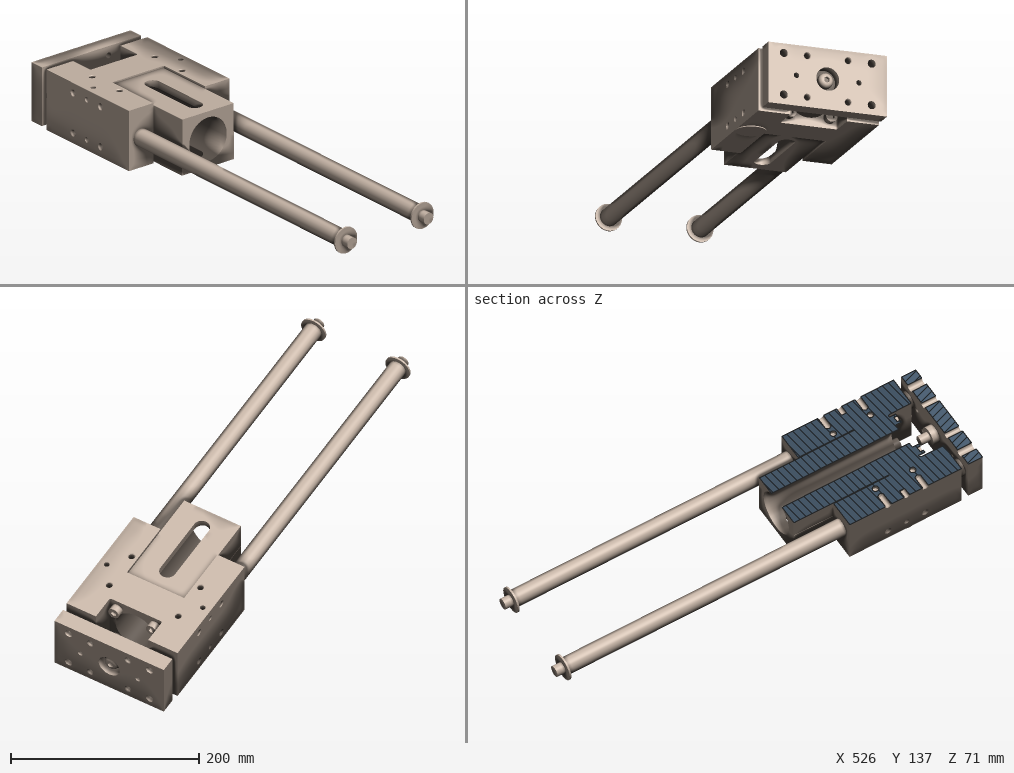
import cadquery as cq
import math


plate_thickness = 18
plate_width = 135
plate_height = 68
plate_bore_diameter = 26
plate_bore_depth = 12
plate_corner_hole_diameter = 9
plate_corner_hole_spacing = 100
plate_dowel_diameter = 6
plate_dowel_spacing = 71

screw_head_diameter = 17
screw_head_height = 8
screw_head_edge = 5
screw_socket_across_flats = 6
screw_base_height = 2
screw_socket_depth = 4
collar_diameter = 21
collar_length = 8
stem_diameter = 11
stem_length = 11.5

overall_length = 526
rod_diameter = 20
rod_spacing = 104
washer_diameter = 30
washer_thickness = 2
end_screw_diameter = 13
end_screw_length = 10
rod_points = [(-rod_spacing / 2, 0), (rod_spacing / 2, 0)]
rod_end_x = overall_length - end_screw_length - washer_thickness

housing_start_x = 27
housing_length = 140
housing_width = 137
housing_height = 70
notch_depth = 29.5
notch_width = 64.5
notch_corner_radius = 2
bore_diameter = 51
notch_floor_x = housing_start_x + notch_depth

mount_center_x = 95.3
mount_pitch = 46.5
thread_diameter = 6.65
thread_mouth_diameter = 8.2
thread_depth = 16
drill_tip_angle = 118
dowel_diameter = 6
dowel_depth = 10
top_thread_spacing = 85
top_dowel_spacing = 118.5

pad_diameter = 33
pad_height = 1
pad_center_x = 92

cap_screw_diameter = 13
cap_screw_height = 8
cap_socket_across_flats = 6
cap_socket_depth = 4

block_start_x = 97
block_end_x = 216
block_width = 70.5
block_upper_width = 69.8
block_height = 65
slot_length = 89
slot_width = 18
slot_center_x = 157.7


def box(x_start, x_end, width, height):
    """Box along X, centred on Y = 0 and Z = 0."""
    length = x_end - x_start
    return cq.Workplane("XY").box(length, width, height).translate((x_start + length / 2, 0, 0))


def rods_along_x(points, x_start, x_end, diameter):
    """Round bars parallel to X at the given (y, z) points."""
    plane = cq.Workplane("YZ", origin=(x_start, 0, 0))
    return plane.pushPoints(points).circle(diameter / 2).extrude(x_end - x_start)


def hex_socket(points, x_start, depth, across_flats):
    """Hexagonal recess tools that open toward -X, with two corners above and below each centre."""
    across_corners = across_flats / math.cos(math.pi / 6)
    socket = cq.Workplane("YZ").polygon(6, across_corners).extrude(depth).rotate((0, 0, 0), (1, 0, 0), 90)
    sockets = cq.Workplane("YZ")
    for y, z in points:
        sockets = sockets.add(socket.translate((x_start, y, z)))
    return sockets.combine()


def grid(first_spacing, second_spacing):
    """Four points of a centred rectangle."""
    return [(a * first_spacing / 2, b * second_spacing / 2) for a in (-1, 1) for b in (-1, 1)]


def drill_tool(diameter, depth):
    """Plain flat-bottomed hole that goes down from Z = 0."""
    return cq.Workplane("XY").circle(diameter / 2).extrude(-depth)


def thread_tool(depth):
    """Threaded hole with a countersunk mouth and a conical bottom, going down from Z = 0."""
    radius = thread_diameter / 2
    mouth_radius = thread_mouth_diameter / 2
    tip_height = radius / math.tan(math.radians(drill_tip_angle / 2))
    profile = (
        cq.Workplane("XZ")
        .moveTo(0, 0)
        .lineTo(mouth_radius, 0)
        .lineTo(radius, radius - mouth_radius)
        .lineTo(radius, -depth)
        .lineTo(0, -depth - tip_height)
        .close()
    )
    return profile.revolve(360, (0, 0, 0), (0, 1, 0))


def make_carriage():
    """Front plate with its centre screw, both guide rods and the rod end stops."""
    plate = box(0, plate_thickness, plate_width, plate_height)
    plate = plate.cut(rods_along_x([(0, 0)], 0, plate_bore_depth, plate_bore_diameter))
    hole_groups = (
        (grid(plate_corner_hole_spacing, mount_pitch), plate_corner_hole_diameter),
        ([(-plate_dowel_spacing / 2, 0), (plate_dowel_spacing / 2, 0)], plate_dowel_diameter),
    )
    for points, diameter in hole_groups:
        plate = plate.cut(rods_along_x(points, 0, plate_thickness, diameter))

    for y, z in grid(mount_pitch, mount_pitch):
        tool = thread_tool(plate_thickness).rotate((0, 0, 0), (0, 1, 0), -90)
        plate = plate.cut(tool.translate((0, y, z)))

    center = [(0, 0)]
    base_start_x = plate_bore_depth - screw_base_height
    base = rods_along_x(center, base_start_x, plate_bore_depth, collar_diameter)
    head_start_x = base_start_x - screw_head_height
    head = rods_along_x(center, head_start_x, base_start_x, screw_head_diameter)
    head = head.faces("<X").edges().fillet(screw_head_edge)
    head = head.cut(hex_socket(center, head_start_x, screw_socket_depth, screw_socket_across_flats))
    collar_end_x = plate_thickness + collar_length
    collar = rods_along_x(center, plate_thickness, collar_end_x, collar_diameter)
    stem = rods_along_x(center, collar_end_x, collar_end_x + stem_length, stem_diameter)

    rods = rods_along_x(rod_points, plate_thickness, rod_end_x, rod_diameter)
    washer_end_x = rod_end_x + washer_thickness
    washers = rods_along_x(rod_points, rod_end_x, washer_end_x, washer_diameter)
    end_screws = rods_along_x(rod_points, washer_end_x, overall_length, end_screw_diameter)

    carriage = plate
    for feature in (base, head, collar, stem, rods, washers, end_screws):
        carriage = carriage.union(feature)
    return carriage


def make_block():
    """Rear block whose upper half is slightly narrower than its lower half."""
    half_height = block_height / 2
    lower = box(block_start_x, block_end_x, block_width, half_height)
    upper = box(block_start_x, block_end_x, block_upper_width, half_height)
    lower = lower.translate((0, 0, -half_height / 2))
    return lower.union(upper.translate((0, 0, half_height / 2)))


def make_housing():
    """Guide housing with its rear block and the cap screws on the notch floor."""
    housing_end_x = housing_start_x + housing_length
    housing = box(housing_start_x, housing_end_x, housing_width, housing_height)
    notch = box(housing_start_x, notch_floor_x, notch_width, housing_height)
    housing = housing.cut(notch.edges("|Z and >X").fillet(notch_corner_radius))

    housing = housing.cut(box(block_start_x, housing_end_x, block_width, housing_height))
    housing = housing.union(make_block())
    slot = (
        cq.Workplane("XY", origin=(slot_center_x, 0, -housing_height / 2))
        .slot2D(slot_length, slot_width)
        .extrude(housing_height)
    )
    housing = housing.cut(slot)
    housing = housing.cut(rods_along_x([(0, 0)], notch_floor_x, block_end_x, bore_diameter))

    housing = housing.cut(rods_along_x(rod_points, housing_start_x, housing_end_x, rod_diameter))

    for x_offset, y in grid(mount_pitch, top_thread_spacing):
        place = (mount_center_x + x_offset, y, housing_height / 2)
        housing = housing.cut(thread_tool(thread_depth).translate(place))
    for side in (-1, 1):
        place = (mount_center_x, side * top_dowel_spacing / 2, housing_height / 2)
        housing = housing.cut(drill_tool(dowel_diameter, dowel_depth).translate(place))

    for side in (-1, 1):
        turn = -90 * side
        y = side * housing_width / 2
        for x_offset, z in grid(mount_pitch, mount_pitch):
            tool = thread_tool(thread_depth).rotate((0, 0, 0), (1, 0, 0), turn)
            housing = housing.cut(tool.translate((mount_center_x + x_offset, y, z)))
        for z in (-mount_pitch / 2, mount_pitch / 2):
            tool = drill_tool(dowel_diameter, dowel_depth).rotate((0, 0, 0), (1, 0, 0), turn)
            housing = housing.cut(tool.translate((mount_center_x, y, z)))

    pad = cq.Workplane("XY", origin=(pad_center_x, rod_spacing / 2, -housing_height / 2))
    housing = housing.union(pad.circle(pad_diameter / 2).extrude(-pad_height))

    screw_points = grid(mount_pitch, mount_pitch)
    head_start_x = notch_floor_x - cap_screw_height
    heads = rods_along_x(screw_points, head_start_x, notch_floor_x, cap_screw_diameter)
    heads = heads.cut(hex_socket(screw_points, head_start_x, cap_socket_depth, cap_socket_across_flats))
    return housing.union(heads)


carriage = make_carriage()
housing = make_housing()

result = cq.Compound.makeCompound([*carriage.vals(), *housing.vals()])